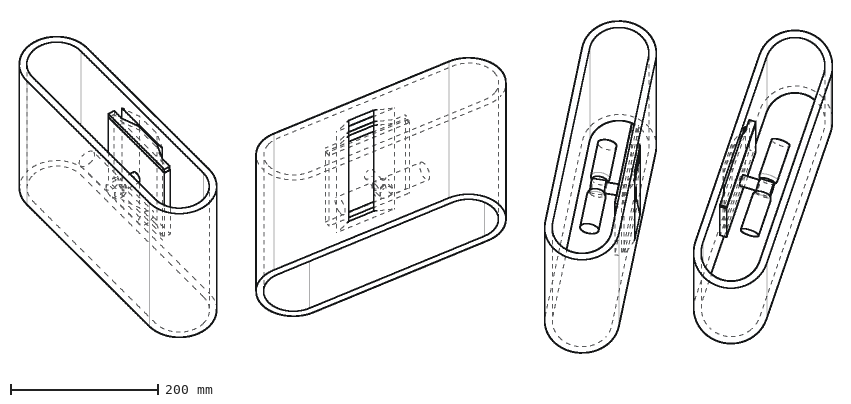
import cadquery as cq

LENGTH = 381.0
DEPTH = 101.7
HEIGHT = 248.5
WALL = 10.3
INNER_FACE_Y = DEPTH / 2 - WALL
MID_HEIGHT = HEIGHT / 2

OPENING_INNER_WIDTH = 92.0
OPENING_OUTER_WIDTH = 39.5
OPENING_TOP = 216.0
OPENING_BOTTOM = HEIGHT - OPENING_TOP

PLATE_WIDTH = 128.0
PLATE_THICKNESS = 9.5
PLATE_TOP = 188.0
PLATE_BOTTOM = HEIGHT - PLATE_TOP
PLATE_FRONT_Y = INNER_FACE_Y - PLATE_THICKNESS
CAP_WIDTH = 127.2
CAP_HEIGHT = 7.0

GRIP_AXIS_Y = -3.0
ROD_DIAMETER = 15.5
HUB_DIAMETER = 19.8
HUB_LENGTH = 19.8
HUB_BACK_Y = GRIP_AXIS_Y + HUB_LENGTH / 2
GRIP_SPAN = 135.0
GRIP_RADIUS = 13.0
GRIP_NECK_RADIUS = 10.5
GRIP_SHOULDER_LENGTH = 5.5


def oval_prism(length, depth):
    return cq.Workplane("XY").slot2D(length, depth).extrude(HEIGHT)


def opening_prism(bottom, height):
    """Prism that fills the tapered wall opening over the given height."""
    inner = OPENING_INNER_WIDTH / 2
    outer = OPENING_OUTER_WIDTH / 2
    outline = [
        (-inner, INNER_FACE_Y),
        (inner, INNER_FACE_Y),
        (outer, DEPTH / 2),
        (-outer, DEPTH / 2),
    ]
    return cq.Workplane("XY").workplane(offset=bottom).polyline(outline).close().extrude(height)


def wall_bar(width, bottom, height):
    """Rectangular bar whose back lies on the inner face of the +Y wall."""
    return (
        cq.Workplane("XY")
        .box(width, PLATE_THICKNESS, height, centered=(True, False, False))
        .translate((0, PLATE_FRONT_Y, bottom))
    )


def rod_along_y(diameter, back_y, length):
    """Cylinder at mid height that runs from back_y towards -Y."""
    return (
        cq.Workplane("XZ", origin=(0, back_y, MID_HEIGHT))
        .circle(diameter / 2)
        .extrude(length)
    )


def make_housing():
    tube = oval_prism(LENGTH, DEPTH).cut(oval_prism(LENGTH - 2 * WALL, DEPTH - 2 * WALL))
    return tube.cut(opening_prism(OPENING_BOTTOM, OPENING_TOP - OPENING_BOTTOM))


def make_mounting_plate():
    return wall_bar(PLATE_WIDTH, PLATE_BOTTOM, PLATE_TOP - PLATE_BOTTOM)


def make_cap_bar():
    bar = wall_bar(CAP_WIDTH, PLATE_TOP, CAP_HEIGHT)
    return bar.union(opening_prism(PLATE_TOP, CAP_HEIGHT))


def make_spindle():
    rod = rod_along_y(ROD_DIAMETER, PLATE_FRONT_Y, PLATE_FRONT_Y - HUB_BACK_Y)
    hub = rod_along_y(HUB_DIAMETER, HUB_BACK_Y, HUB_LENGTH)
    return rod.union(hub)


def make_grip(side):
    """Round grip along X, rounded off where it meets the hub; side is -1 or +1."""
    neck_x = side * HUB_DIAMETER / 2
    shoulder_x = neck_x + side * GRIP_SHOULDER_LENGTH
    end_x = side * GRIP_SPAN / 2
    return (
        cq.Workplane("XY", origin=(0, GRIP_AXIS_Y, MID_HEIGHT))
        .moveTo(neck_x, 0)
        .lineTo(end_x, 0)
        .lineTo(end_x, GRIP_RADIUS)
        .lineTo(shoulder_x, GRIP_RADIUS)
        .tangentArcPoint((neck_x, GRIP_NECK_RADIUS), relative=False)
        .close()
        .revolve(360, (0, 0, 0), (1, 0, 0))
    )


housing = make_housing()
mounting_plate = make_mounting_plate()
cap_bar = make_cap_bar()
spindle = make_spindle()
grips = [make_grip(side) for side in (-1, 1)]

result = cq.Compound.makeCompound([
    housing.val(),
    mounting_plate.val(),
    cap_bar.val(),
    spindle.val(),
    *[grip.val() for grip in grips],
])